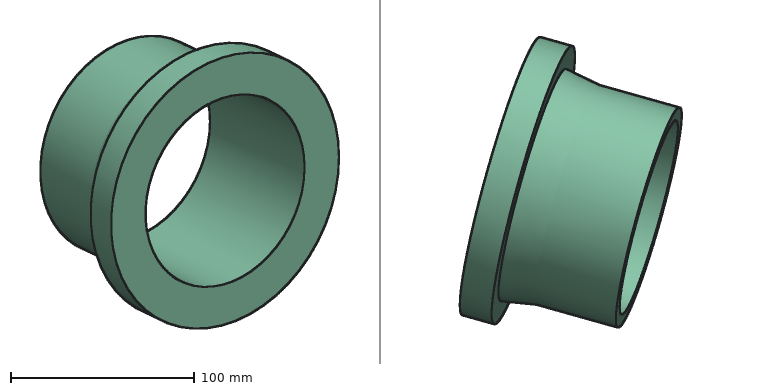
import cadquery as cq

total_length = 84.0
flange_thickness = 18.2
neck_length = 19.8
flange_diameter = 158.0
neck_diameter = 132.0
pipe_diameter = 125.0
bore_diameter = 110.1

pipe_end_x = -total_length / 2
flange_end_x = total_length / 2
flange_face_x = flange_end_x - flange_thickness
neck_start_x = flange_face_x - neck_length

half_section = (
    cq.Workplane("XY")
    .moveTo(pipe_end_x, bore_diameter / 2)
    .lineTo(pipe_end_x, pipe_diameter / 2)
    .lineTo(neck_start_x, pipe_diameter / 2)
    .lineTo(flange_face_x, neck_diameter / 2)
    .lineTo(flange_face_x, flange_diameter / 2)
    .lineTo(flange_end_x, flange_diameter / 2)
    .lineTo(flange_end_x, bore_diameter / 2)
    .close()
)

result = half_section.revolve(360, (0, 0, 0), (1, 0, 0))